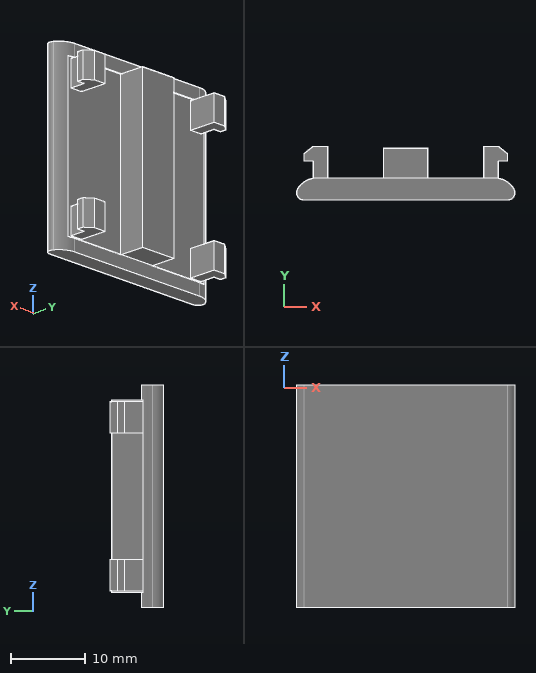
import cadquery as cq
import math

plate_height = 30.0
plate_thickness = 3.0
edge_radius = 1.0
crown_radius = plate_thickness
crown_center_x = 12.0
join_angle = math.radians(30.0)
edge_center_x = crown_center_x + (crown_radius - edge_radius) * math.cos(join_angle)

relief_depth = 0.2
relief_height = 26.0
floor_y = plate_thickness - relief_depth

rib_width = 6.0
rib_top_y = 7.0

hook_length = 4.25
hook_outer_z = 12.75
hook_top_y = 7.25
stem_inner_x = 10.5
stem_outer_x = 12.5
barb_reach = 1.25
barb_under_y = 5.25
barb_shoulder_y = 6.25


def polar(center_x, center_y, radius, angle):
    return (center_x + radius * math.cos(angle), center_y + radius * math.sin(angle))


def mirrored(point):
    return (-point[0], point[1])


def make_plate():
    crown_start = (crown_center_x, plate_thickness)
    crown_mid = polar(crown_center_x, 0, crown_radius, (join_angle + math.pi / 2) / 2)
    join = polar(crown_center_x, 0, crown_radius, join_angle)
    edge_mid = polar(edge_center_x, edge_radius, edge_radius, (join_angle - math.pi / 2) / 2)
    edge_end = (edge_center_x, 0)
    section = (
        cq.Workplane("XY")
        .moveTo(*mirrored(edge_end))
        .lineTo(*edge_end)
        .threePointArc(edge_mid, join)
        .threePointArc(crown_mid, crown_start)
        .lineTo(*mirrored(crown_start))
        .threePointArc(mirrored(crown_mid), mirrored(join))
        .threePointArc(mirrored(edge_mid), mirrored(edge_end))
        .close()
    )
    return section.extrude(plate_height / 2, both=True)


def make_relief():
    width = 2 * (edge_center_x + edge_radius)
    return (
        cq.Workplane("XY")
        .box(width, relief_depth, relief_height, centered=(True, False, True))
        .translate((0, floor_y, 0))
    )


def make_rib():
    return (
        cq.Workplane("XY")
        .box(rib_width, rib_top_y - floor_y, relief_height, centered=(True, False, True))
        .translate((0, floor_y, 0))
    )


def make_hook():
    """Hook at +X, +Z with its barb pointing outward; its root is sunk into the plate."""
    root_y = plate_thickness / 2
    barb_x = stem_outer_x + barb_reach
    return (
        cq.Workplane("XY")
        .workplane(offset=hook_outer_z - hook_length)
        .polyline([
            (stem_inner_x, root_y),
            (stem_outer_x, root_y),
            (stem_outer_x, barb_under_y),
            (barb_x, barb_under_y),
            (barb_x, barb_shoulder_y),
            (stem_outer_x, hook_top_y),
            (stem_inner_x, hook_top_y),
        ])
        .close()
        .extrude(hook_length)
    )


def make_hooks():
    hook = make_hook()
    pair = hook.union(hook.mirror("YZ"))
    return pair.union(pair.mirror("XY"))


result = make_plate().cut(make_relief()).union(make_rib()).union(make_hooks())